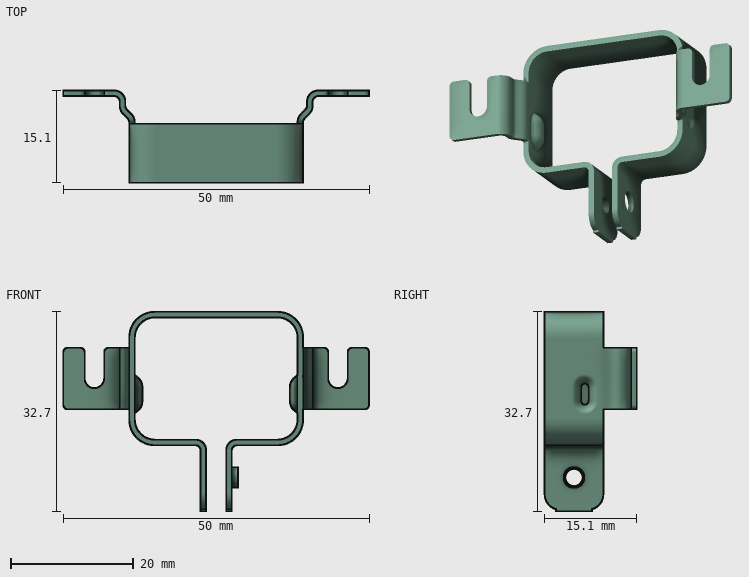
import cadquery as cq
import math

sheet = 0.95
overall_length = 50.05
overall_depth = 15.1
overall_height = 32.7

band_length = 28.45
band_height = 21.85
band_width = 9.65
band_corner_radius = 4.2
leg_gap = 3.25
leg_bend_radius = 0.8
leg_corner_radius = 2.6
leg_tab_width = 5.9
leg_tab_height = 0.25

screw_drop = 27.1
plain_hole_diameter = 3.5
collar_diameter = 3.4
collar_bore = 2.8
collar_length = 1.0

ear_height = 10.1
ear_root_straight = 0.2
ear_shift = 1.55
ear_slant = 45.0
ear_root_radius = 1.0
ear_bend_radius = 0.9
ear_corner_radius = 0.75
slot_width = 3.15
slot_depth = 6.6
slot_inset = 5.1

dimple_y = 6.6
dimple_z = -2.55
dimple_straight = 2.25
mouth_radius = 2.15
cone_radius = 1.5
floor_radius = 0.6
dome_base_radius = 2.0
dome_shoulder_radius = 1.65
dome_shoulder_height = 0.4
dome_height = 1.25

band_top = band_height / 2
leg_bottom = band_top - overall_height
wall_x = -(band_length - sheet) / 2


def straight(length):
    """Flat stretch of a strip."""
    return (length, 0.0, 0.0)


def bend(angle, inside_radius):
    """Bend by an angle in degrees, positive to the left."""
    return (0.0, angle, inside_radius + sheet / 2)


def bent_strip(plane, start, heading, steps, width):
    """Strip of sheet whose middle line follows the steps, extruded by its width."""

    def beside(point, angle, side):
        normal = math.radians(angle + 90)
        offset = side * sheet / 2
        return (point[0] + offset * math.cos(normal), point[1] + offset * math.sin(normal))

    def advance(point, angle, distance):
        direction = math.radians(angle)
        return (point[0] + distance * math.cos(direction), point[1] + distance * math.sin(direction))

    stations = [(start, heading)]
    for length, angle, radius in steps:
        point, direction = stations[-1]
        if angle:
            for _ in range(2):
                chord = 2 * radius * math.sin(math.radians(abs(angle) / 4))
                point = advance(point, direction + angle / 4, chord)
                direction += angle / 2
                stations.append((point, direction))
        else:
            stations.append((advance(point, direction, length), direction))

    left = [beside(point, direction, 1) for point, direction in stations]
    right = [beside(point, direction, -1) for point, direction in stations]

    def trace(outline, side_points, bend_angles):
        """Follow one side from its first point, with an arc for each bend."""
        remaining = iter(side_points[1:])
        for angle in bend_angles:
            if angle:
                outline = outline.threePointArc(next(remaining), next(remaining))
            else:
                outline = outline.lineTo(*next(remaining))
        return outline

    angles = [angle for _, angle, _ in steps]
    outline = trace(cq.Workplane(plane).moveTo(*left[0]), left, angles)
    outline = trace(outline.lineTo(*right[-1]), right[::-1], angles[::-1])
    return outline.close().extrude(width)


def clamp_half():
    """Left half of the band with its leg, starting at the middle of the top."""
    corner_inside = band_corner_radius - sheet
    half_length = band_length / 2
    leg_outer_radius = leg_bend_radius + sheet
    steps = [
        straight(half_length - band_corner_radius),
        bend(90, corner_inside),
        straight(band_height - 2 * band_corner_radius),
        bend(90, corner_inside),
        straight(half_length - band_corner_radius - leg_gap / 2 - leg_outer_radius),
        bend(-90, leg_bend_radius),
        straight(overall_height - band_height - leg_bend_radius),
    ]
    strip = bent_strip("XZ", (0, band_top - sheet / 2), 180, steps, -band_width)
    return strip.intersect(leg_end_blank())


def leg_end_blank():
    """Side outline of the clamp: rounded leg end with a shallow tab below it."""
    body_height = overall_height - leg_tab_height
    body = (
        cq.Workplane("XY")
        .box(band_length, band_width, body_height, centered=(True, False, False))
        .translate((0, 0, leg_bottom + leg_tab_height))
        .edges("|X and <Z")
        .fillet(leg_corner_radius)
    )
    tab = (
        cq.Workplane("XY", origin=(0, band_width / 2, leg_bottom))
        .box(band_length, leg_tab_width, leg_corner_radius, centered=(True, True, False))
    )
    return body.union(tab)


def ear():
    """Left mounting ear: bent strip trimmed to its slotted outline."""
    root_middle = ear_root_radius + sheet / 2
    bend_middle = ear_bend_radius + sheet / 2
    sine = math.sin(math.radians(ear_slant))
    cosine = math.cos(math.radians(ear_slant))
    bends = root_middle + bend_middle
    slant_length = (ear_shift - bends * (1 - cosine)) / sine
    slant_end = ear_root_straight + bends * sine + slant_length * cosine
    rise = overall_depth - band_width - sheet / 2 - bend_middle - slant_end
    plate = overall_length / 2 + wall_x - ear_shift - bend_middle
    steps = [
        straight(ear_root_straight),
        bend(ear_slant, ear_root_radius),
        straight(slant_length),
        bend(-ear_slant, ear_bend_radius),
        straight(rise),
        bend(90, ear_bend_radius),
        straight(plate),
    ]
    strip = bent_strip("XY", (wall_x, band_width), 90, steps, ear_height)
    return strip.translate((0, 0, -ear_height / 2)).intersect(ear_blank())


def ear_blank():
    """Front outline of the ear, running on past its root to the middle of the part."""
    tip_x = -overall_length / 2
    slot_x = tip_x + slot_inset
    slot_end_z = ear_height / 2 - slot_depth + slot_width / 2
    plate = (
        cq.Workplane("XY")
        .box(-tip_x, overall_depth, ear_height, centered=(False, False, True))
        .translate((tip_x, 0, 0))
    )
    slot_end = (
        cq.Workplane("XZ", origin=(slot_x, 0, slot_end_z))
        .circle(slot_width / 2)
        .extrude(-overall_depth)
    )
    slot = (
        cq.Workplane("XY", origin=(slot_x, 0, slot_end_z))
        .box(slot_width, overall_depth, ear_height, centered=(True, False, False))
    )
    plate = plate.cut(slot_end).cut(slot)
    return plate.edges("|Y and (>Z or <Z)").fillet(ear_corner_radius)


def oblong(half_profile):
    """Spin a half profile (radius, depth) about the depth axis and stretch it along Z."""
    end = half_profile.revolve(360, (0, 0, 0), (0, 1, 0))
    half_straight = dimple_straight / 2
    lower = end.translate((0, 0, -half_straight))
    upper = end.translate((0, 0, half_straight))
    half_bar = half_profile.toPending().extrude(half_straight, both=True)
    bar = half_bar.union(half_bar.mirror("YZ"))
    return bar.union(lower).union(upper)


def place_dimple(shape, face_x):
    """Turn the depth axis towards +X and move the shape onto the left wall."""
    turned = shape.rotate((0, 0, 0), (0, 0, 1), -90)
    return turned.translate((face_x, dimple_y, dimple_z))


def dimple_dome():
    """Bump inside the wall: cone up to the shoulder, round cap, and a root sunk into the sheet."""
    cap_height = dome_height - dome_shoulder_height
    cap_radius = (dome_shoulder_radius**2 + cap_height**2) / (2 * cap_height)
    half_angle = math.asin(dome_shoulder_radius / cap_radius) / 2
    cap_middle = (
        cap_radius * math.sin(half_angle),
        dome_height - cap_radius * (1 - math.cos(half_angle)),
    )
    profile = (
        cq.Workplane("XY")
        .moveTo(0, -sheet / 2)
        .lineTo(dome_base_radius, -sheet / 2)
        .lineTo(dome_base_radius, 0)
        .lineTo(dome_shoulder_radius, dome_shoulder_height)
        .threePointArc(cap_middle, (0, dome_height))
        .close()
    )
    return place_dimple(oblong(profile), wall_x + sheet / 2)


def dimple_pocket():
    """Hollow behind the dome: rounded mouth, 45 degree cone and flat floor."""
    slope = math.radians(45)
    mouth_arc = (mouth_radius - cone_radius) / math.sin(slope)
    cone_depth = mouth_arc * (1 - math.cos(slope))
    floor_depth = cone_depth + (cone_radius - floor_radius) * math.tan(slope)
    arc_middle = (
        mouth_radius - mouth_arc * math.sin(slope / 2),
        mouth_arc * (1 - math.cos(slope / 2)),
    )
    profile = (
        cq.Workplane("XY")
        .lineTo(mouth_radius, 0)
        .threePointArc(arc_middle, (cone_radius, cone_depth))
        .lineTo(floor_radius, floor_depth)
        .lineTo(0, floor_depth)
        .close()
    )
    return place_dimple(oblong(profile), wall_x - sheet / 2)


def screw_cylinder(diameter, start_x, length):
    """Cylinder along +X on the axis of the clamping screw."""
    origin = (start_x, band_width / 2, band_top - screw_drop)
    return cq.Workplane("YZ", origin=origin).circle(diameter / 2).extrude(length)


left_half = clamp_half().union(ear()).union(dimple_dome()).cut(dimple_pocket())
bracket = left_half.union(left_half.mirror("YZ"))

leg_outer_x = leg_gap / 2 + sheet
bracket = bracket.cut(screw_cylinder(plain_hole_diameter, -leg_outer_x, sheet))
bracket = bracket.union(screw_cylinder(collar_diameter, leg_outer_x, collar_length))
bracket = bracket.cut(screw_cylinder(collar_bore, leg_gap / 2, sheet + collar_length))

result = bracket